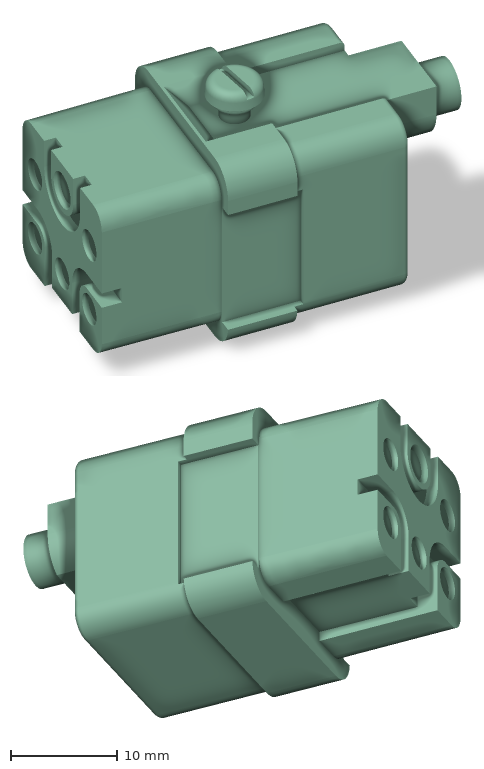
import cadquery as cq
import math


FLANGE_FRONT = 12.4
FLANGE_REAR = 19.58
BODY_REAR = 31.5
BLOCK_REAR = 37.02
PIN_REAR = 40.2

FLANGE_HALF = 10.5
FLANGE_CORNER = 3.0
BODY_HALF = 9.8
BODY_CORNER = 2.35
BODY_REAR_FILLET = 0.52

INSERT_ROOT_HALF_X = 9.0
INSERT_TIP_HALF_X = 8.92
INSERT_ROOT_HALF_Z = 8.6
INSERT_CORNER = 2.0

PANEL_HALF_X = 9.15
PANEL_TOP = 5.83
PANEL_BOTTOM = -7.7
PANEL_REAR = 20.5

CHANNEL_FLOOR = 8.75
CHANNEL_HALF_X = 4.8
TROUGH_FRONT = 12.7
TROUGH_SLOPE_RUN = 1.8

TERMINAL_Z = 5.45
BLOCK_HALF_X = 3.95
BLOCK_DROP = 3.4
PIN_DIAMETER = 5.3

SCREW_Y = 17.9
SCREW_TOP = 13.05
HEAD_BOTTOM = 11.25
HEAD_DIAMETER = 5.65
HEAD_DRAFT = 4.5
HEAD_FILLET = 0.92
COLLAR_DIAMETER = 4.5
COLLAR_SECTION_RADIUS = 0.55
COLLAR_EMBED = 0.05
STEM_DIAMETER = 3.0
DRIVE_WIDTH = 0.8
DRIVE_DEPTH = 0.72
DRIVE_ANGLE = 9.5

EARTH_BOSS_RADIUS = 2.5
EARTH_GROOVE_RADIUS = 4.05
EARTH_GROOVE_DEPTH = 1.2
CORNER_BOSS_X = 3.95
CORNER_BOSS_TOP = -2.3
CORNER_BOSS_RADIUS = 1.6
CORNER_GROOVE_WIDTH = 1.7
CORNER_GROOVE_DEPTH = 2.1
KEYWAY_TOP = -7.6

CONTACT_X = 6.1
CONTACT_UPPER_Z = 3.15
CONTACT_LOWER_Z = -4.4
CONTACT_MOUTH = 3.2
CONTACT_FLOOR = 3.0
CONTACT_DEPTH = 0.6
EARTH_MOUTH = 3.8
EARTH_FLOOR = 2.95
EARTH_DEPTH = 0.5

OVERCUT = 2.0


def box(x_min, x_max, y_min, y_max, z_min, z_max):
    size = (x_max - x_min, y_max - y_min, z_max - z_min)
    return cq.Workplane("XY").box(*size, centered=False).translate((x_min, y_min, z_min))


def section(y):
    """Workplane across the part at y, with local axes X and Z; extrusion runs toward -Y."""
    return cq.Workplane("XZ", origin=(0, y, 0))


def u_prism(radius, top, y_front, y_rear):
    """Upright U around the earth terminal axis with a flat top."""
    return (
        section(y_rear)
        .moveTo(-radius, top)
        .lineTo(-radius, TERMINAL_Z)
        .threePointArc((0, TERMINAL_Z - radius), (radius, TERMINAL_Z))
        .lineTo(radius, top)
        .close()
        .extrude(y_rear - y_front)
    )


def rounded_prism(half, corner, y_front, y_rear):
    prism = section(y_rear).rect(2 * half, 2 * half).extrude(y_rear - y_front)
    return prism.edges("|Y").fillet(corner)


def make_insert():
    draft = math.degrees(math.atan2(INSERT_ROOT_HALF_X - INSERT_TIP_HALF_X, FLANGE_FRONT))
    outline = cq.Sketch().rect(2 * INSERT_ROOT_HALF_X, 2 * INSERT_ROOT_HALF_Z)
    outline = outline.vertices().fillet(INSERT_CORNER)
    return section(FLANGE_FRONT).placeSketch(outline).extrude(FLANGE_FRONT, taper=draft)


def make_housing():
    flange = rounded_prism(FLANGE_HALF, FLANGE_CORNER, FLANGE_FRONT, FLANGE_REAR)
    body = rounded_prism(BODY_HALF, BODY_CORNER, FLANGE_FRONT, BODY_REAR)
    body = body.faces(">Y").edges().fillet(BODY_REAR_FILLET)
    return make_insert().union(flange).union(body)


def make_panel_recesses():
    outer = FLANGE_HALF + OVERCUT
    right = box(PANEL_HALF_X, outer, FLANGE_FRONT, PANEL_REAR, PANEL_BOTTOM, PANEL_TOP)
    return right.union(right.mirror("YZ"))


def make_channel():
    """Straight channel behind the flange and a sloped-wall trough through the flange."""
    channel = box(
        -CHANNEL_HALF_X, CHANNEL_HALF_X, FLANGE_REAR, BODY_REAR + OVERCUT, CHANNEL_FLOOR, FLANGE_HALF
    )
    floor_half_x = CHANNEL_HALF_X - TROUGH_SLOPE_RUN
    floor_front = TROUGH_FRONT + TROUGH_SLOPE_RUN
    funnel_half_y = FLANGE_REAR - TROUGH_FRONT
    funnel = (
        cq.Workplane("XY", origin=(0, FLANGE_REAR, CHANNEL_FLOOR))
        .rect(2 * floor_half_x, 2 * (FLANGE_REAR - floor_front))
        .workplane(offset=FLANGE_HALF - CHANNEL_FLOOR)
        .rect(2 * CHANNEL_HALF_X, 2 * funnel_half_y)
        .loft(combine=True)
    )
    keep = box(
        -CHANNEL_HALF_X, CHANNEL_HALF_X, TROUGH_FRONT, FLANGE_REAR, CHANNEL_FLOOR, FLANGE_HALF
    )
    return channel.union(funnel.intersect(keep))


def make_terminal():
    """Block rounded concentric with the pin and flat along its bottom, plus the pin."""
    block = u_prism(BLOCK_HALF_X, CHANNEL_FLOOR, FLANGE_REAR, BLOCK_REAR)
    bottom = TERMINAL_Z - BLOCK_DROP
    block = block.intersect(
        box(-BLOCK_HALF_X, BLOCK_HALF_X, FLANGE_REAR, BLOCK_REAR, bottom, CHANNEL_FLOOR)
    )
    pin_length = PIN_REAR - FLANGE_REAR
    pin = section(PIN_REAR).center(0, TERMINAL_Z).circle(PIN_DIAMETER / 2).extrude(pin_length)
    return block.union(pin)


def make_screw():
    head = cq.Workplane("XY", origin=(0, SCREW_Y, HEAD_BOTTOM)).circle(HEAD_DIAMETER / 2)
    head = head.extrude(SCREW_TOP - HEAD_BOTTOM, taper=HEAD_DRAFT)
    head = head.faces(">Z").edges().fillet(HEAD_FILLET)
    drive = (
        cq.Workplane("XY", origin=(0, SCREW_Y, SCREW_TOP - DRIVE_DEPTH))
        .transformed(rotate=(0, 0, DRIVE_ANGLE))
        .rect(HEAD_DIAMETER + OVERCUT, DRIVE_WIDTH)
        .extrude(DRIVE_DEPTH)
    )
    stem = cq.Workplane("XY", origin=(0, SCREW_Y, TERMINAL_Z)).circle(STEM_DIAMETER / 2)
    stem = stem.extrude(SCREW_TOP - DRIVE_DEPTH - TERMINAL_Z)
    collar = cq.Solid.makeTorus(
        COLLAR_DIAMETER / 2 - COLLAR_SECTION_RADIUS,
        COLLAR_SECTION_RADIUS,
        cq.Vector(0, SCREW_Y, HEAD_BOTTOM - COLLAR_SECTION_RADIUS + COLLAR_EMBED),
        cq.Vector(0, 0, 1),
    )
    return head.cut(drive).union(stem).union(cq.Workplane(collar))


def corner_prism(offset, depth):
    """Block filling the lower right corner, grown outward by offset around its boss."""
    outer = INSERT_ROOT_HALF_X
    prism = box(
        CORNER_BOSS_X - offset, outer, 0, depth, -INSERT_ROOT_HALF_Z, CORNER_BOSS_TOP + offset
    )
    return prism.faces("<X").edges(">Z").fillet(CORNER_BOSS_RADIUS + offset)


def make_coding_grooves():
    earth = u_prism(EARTH_GROOVE_RADIUS, INSERT_ROOT_HALF_Z, 0, EARTH_GROOVE_DEPTH)
    earth = earth.cut(u_prism(EARTH_BOSS_RADIUS, INSERT_ROOT_HALF_Z, 0, EARTH_GROOVE_DEPTH))
    corner = corner_prism(CORNER_GROOVE_WIDTH, CORNER_GROOVE_DEPTH)
    corner = corner.cut(corner_prism(0, CORNER_GROOVE_DEPTH))
    keyway = box(
        -CORNER_BOSS_X, CORNER_BOSS_X, 0, FLANGE_FRONT, -INSERT_ROOT_HALF_Z, KEYWAY_TOP
    )
    return earth.union(corner).union(corner.mirror("YZ")).union(keyway)


def opening(x, z, mouth, floor, depth):
    """Blind conical opening in the mating face."""
    taper = math.degrees(math.atan2((mouth - floor) / 2, depth))
    return section(0).center(x, z).circle(mouth / 2).extrude(-depth, taper=taper)


def make_openings():
    contacts = [
        (-CONTACT_X, CONTACT_UPPER_Z),
        (CONTACT_X, CONTACT_UPPER_Z),
        (-CONTACT_X, CONTACT_LOWER_Z),
        (0, CONTACT_LOWER_Z),
        (CONTACT_X, CONTACT_LOWER_Z),
    ]
    openings = opening(0, TERMINAL_Z, EARTH_MOUTH, EARTH_FLOOR, EARTH_DEPTH)
    for x, z in contacts:
        openings = openings.union(opening(x, z, CONTACT_MOUTH, CONTACT_FLOOR, CONTACT_DEPTH))
    return openings


housing = make_housing().cut(make_panel_recesses()).cut(make_channel())
housing = housing.cut(make_coding_grooves()).cut(make_openings())
result = housing.union(make_terminal()).union(make_screw())